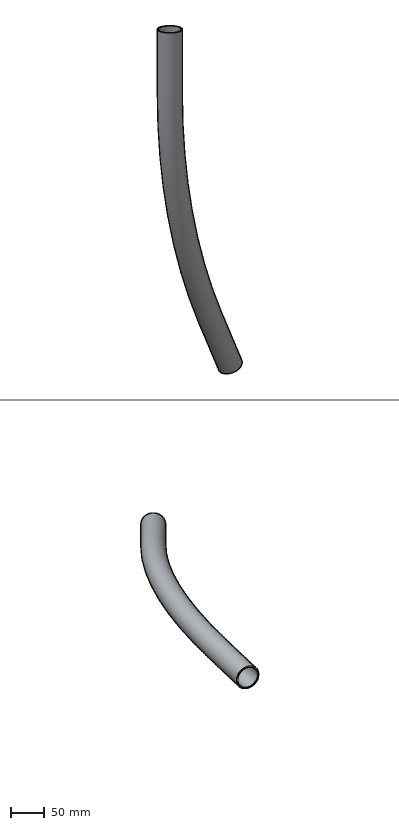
import cadquery as cq
import math

outer_diameter = 38.0
inner_diameter = 33.5
height = 580.0
end_length = 102.0
bend_angle = 30.0

angle = math.radians(bend_angle)
end_rim_drop = outer_diameter / 2 * math.sin(angle)
straight_height = end_length * (1 + math.cos(angle))
bend_radius = (height - straight_height - end_rim_drop) / math.sin(angle)


def bend_point(turn):
    """Point (Y, Z) on the bend centreline after turning by the given angle."""
    return (
        bend_radius * (1 - math.cos(turn)),
        -end_length - bend_radius * math.sin(turn),
    )


bend_start = bend_point(0)
bend_middle = bend_point(angle / 2)
bend_end = bend_point(angle)
lower_end = (
    bend_end[0] + end_length * math.sin(angle),
    bend_end[1] - end_length * math.cos(angle),
)
centreline = (
    cq.Workplane("YZ")
    .moveTo(0, 0)
    .lineTo(*bend_start)
    .threePointArc(bend_middle, bend_end)
    .lineTo(*lower_end)
)

result = (
    cq.Workplane("XY")
    .circle(outer_diameter / 2)
    .circle(inner_diameter / 2)
    .sweep(centreline)
)